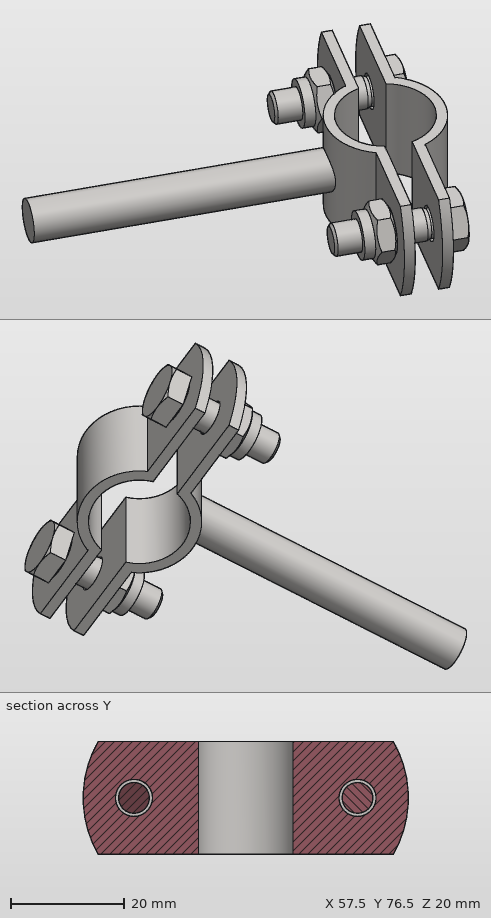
import cadquery as cq
import math

RING_OUTER_RADIUS = 11.0
SHEET = 2.0
RING_INNER_RADIUS = RING_OUTER_RADIUS - SHEET
GAP = 5.0
EAR_INNER_Y = GAP / 2
EAR_OUTER_Y = EAR_INNER_Y + SHEET
CLAMP_LENGTH = 57.5
CLAMP_WIDTH = 20.0
EAR_END_RADIUS = 20.0
BOLT_HOLE_DIAMETER = 6.5

ROD_DIAMETER = 8.0
ROD_END_Y = -65.5

BOLT_X = CLAMP_LENGTH / 2 - 9.0
THREAD_DIAMETER = 6.0
BOLT_LENGTH = 20.0
NECK_DIAMETER = 5.46
NECK_LENGTH = 2.25
NECK_TAPER = 0.75
TIP_DIAMETER = 5.0
TIP_CHAMFER_LENGTH = 0.5
HEX_ACROSS_FLATS = 10.0
HEX_ACROSS_CORNERS = HEX_ACROSS_FLATS / math.cos(math.pi / 6)
HEX_CHAMFER_ANGLE = math.radians(30)
HEAD_HEIGHT = 4.0
WASHER_FACE_HEIGHT = 0.4
WASHER_FACE_DIAMETER = 8.9
HEAD_FACE_DIAMETER = 10.0

NUT_HEIGHT = 6.0
NUT_HEX_HEIGHT = 4.0
COLLAR_DIAMETER = 8.9
NUT_BEARING_DIAMETER = 8.7
LEFT_NUT_TURN = 3.0
RIGHT_NUT_TURN = 0.0


def revolve_profile(points):
    """Revolve a closed (radius, height) outline about the Z axis."""
    return cq.Workplane("XZ").polyline(points).close().revolve(360, (0, 0), (0, 1))


def hexagon(bottom, top):
    """Plain hexagonal prism along Z."""
    return cq.Workplane("XY").workplane(offset=bottom).polygon(6, HEX_ACROSS_CORNERS).extrude(top - bottom)


def chamfer_cone(end, other_end, face_diameter):
    """Cone that trims hexagon corners at one end, leaving a round face of face_diameter there."""
    flare = abs(other_end - end) / math.tan(HEX_CHAMFER_ANGLE)
    return revolve_profile([
        (0, end),
        (face_diameter / 2, end),
        (face_diameter / 2 + flare, other_end),
        (0, other_end),
    ])


def place_on_ear(fastener, x, y):
    """Lay a fastener built along +Z so that it points along +Y, with its origin at (x, y)."""
    return fastener.rotate((0, 0, 0), (1, 0, 0), -90).translate((x, y, 0))


def make_clamp_half():
    """Half clamp on the +Y side."""
    half_length = CLAMP_LENGTH / 2
    outer_x = math.sqrt(RING_OUTER_RADIUS**2 - EAR_OUTER_Y**2)
    inner_x = math.sqrt(RING_INNER_RADIUS**2 - EAR_INNER_Y**2)
    strip = (
        cq.Workplane("XY")
        .moveTo(-half_length, EAR_INNER_Y)
        .lineTo(-inner_x, EAR_INNER_Y)
        .threePointArc((0, RING_INNER_RADIUS), (inner_x, EAR_INNER_Y))
        .lineTo(half_length, EAR_INNER_Y)
        .lineTo(half_length, EAR_OUTER_Y)
        .lineTo(outer_x, EAR_OUTER_Y)
        .threePointArc((0, RING_OUTER_RADIUS), (-outer_x, EAR_OUTER_Y))
        .lineTo(-half_length, EAR_OUTER_Y)
        .close()
        .extrude(CLAMP_WIDTH / 2, both=True)
    )
    half_width = CLAMP_WIDTH / 2
    corner_x = half_length - EAR_END_RADIUS + math.sqrt(EAR_END_RADIUS**2 - half_width**2)
    outline = (
        cq.Workplane("XZ")
        .moveTo(-corner_x, -half_width)
        .lineTo(corner_x, -half_width)
        .threePointArc((half_length, 0), (corner_x, half_width))
        .lineTo(-corner_x, half_width)
        .threePointArc((-half_length, 0), (-corner_x, -half_width))
        .close()
        .extrude(RING_OUTER_RADIUS, both=True)
    )
    bolt_holes = (
        cq.Workplane("XZ")
        .pushPoints([(-BOLT_X, 0), (BOLT_X, 0)])
        .circle(BOLT_HOLE_DIAMETER / 2)
        .extrude(RING_OUTER_RADIUS, both=True)
    )
    return strip.intersect(outline).cut(bolt_holes)


def make_rod_clamp_half():
    """Half clamp on the -Y side with the rod joined to the middle of its ring."""
    rod_start_y = -(RING_INNER_RADIUS + RING_OUTER_RADIUS) / 2
    rod = (
        cq.Workplane("XZ", origin=(0, rod_start_y, 0))
        .circle(ROD_DIAMETER / 2)
        .extrude(rod_start_y - ROD_END_Y)
    )
    return make_clamp_half().mirror("XZ").union(rod)


def make_bolt(x):
    """Hexagon bolt with its head seated on the outside of the +Y half."""
    head = hexagon(WASHER_FACE_HEIGHT, HEAD_HEIGHT).intersect(
        chamfer_cone(HEAD_HEIGHT, WASHER_FACE_HEIGHT, HEAD_FACE_DIAMETER)
    )
    washer_face = cq.Workplane("XY").circle(WASHER_FACE_DIAMETER / 2).extrude(WASHER_FACE_HEIGHT)
    shank = revolve_profile([
        (0, 0),
        (NECK_DIAMETER / 2, 0),
        (NECK_DIAMETER / 2, -NECK_LENGTH),
        (THREAD_DIAMETER / 2, -NECK_LENGTH - NECK_TAPER),
        (THREAD_DIAMETER / 2, -BOLT_LENGTH + TIP_CHAMFER_LENGTH),
        (TIP_DIAMETER / 2, -BOLT_LENGTH),
        (0, -BOLT_LENGTH),
    ])
    return place_on_ear(head.union(washer_face).union(shank), x, EAR_OUTER_Y)


def make_nut(x, turn):
    """Locking nut with a round collar, seated on the -Y half and tightened by turn degrees."""
    body = (
        hexagon(-NUT_HEX_HEIGHT, 0)
        .intersect(chamfer_cone(0, -NUT_HEX_HEIGHT, NUT_BEARING_DIAMETER))
        .intersect(chamfer_cone(-NUT_HEX_HEIGHT, 0, COLLAR_DIAMETER))
    )
    collar = cq.Workplane("XY").circle(COLLAR_DIAMETER / 2).extrude(-NUT_HEIGHT)
    bore = cq.Workplane("XY").circle(THREAD_DIAMETER / 2).extrude(-NUT_HEIGHT)
    nut = body.union(collar).cut(bore).rotate((0, 0, 0), (0, 0, 1), -turn)
    return place_on_ear(nut, x, -EAR_OUTER_Y)


clamp_half = make_clamp_half()
rod_clamp_half = make_rod_clamp_half()
bolts = [make_bolt(x) for x in (-BOLT_X, BOLT_X)]
nuts = [
    make_nut(x, turn)
    for x, turn in ((-BOLT_X, LEFT_NUT_TURN), (BOLT_X, RIGHT_NUT_TURN))
]

result = cq.Compound.makeCompound([
    clamp_half.val(),
    rod_clamp_half.val(),
    *[bolt.val() for bolt in bolts],
    *[nut.val() for nut in nuts],
])